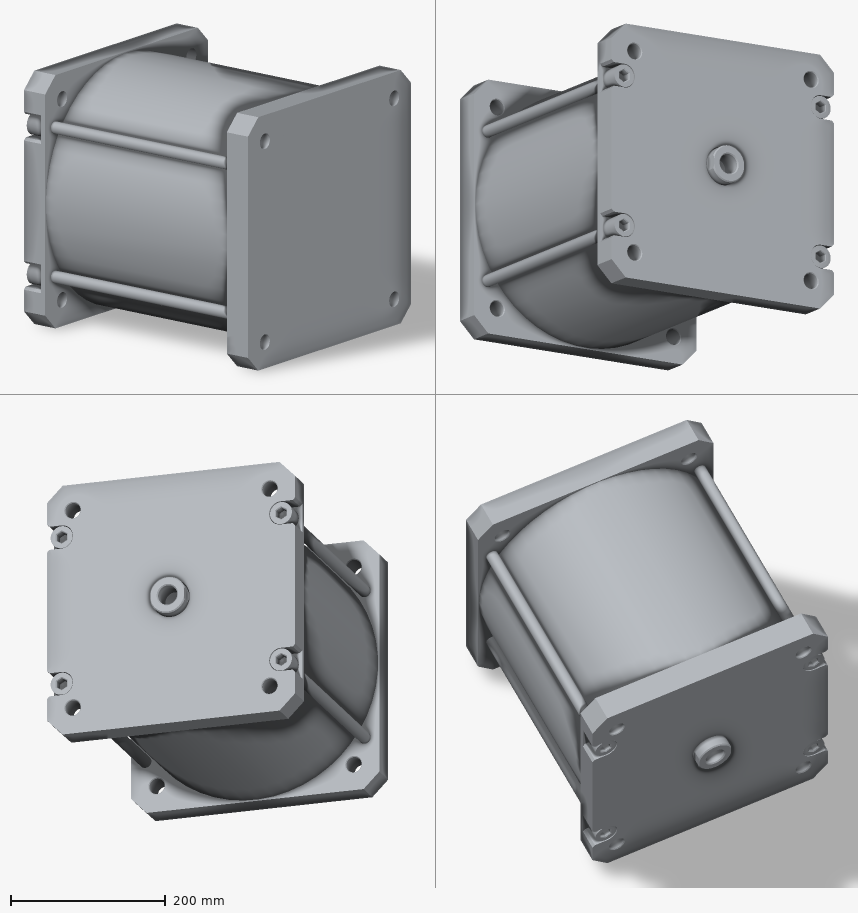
import cadquery as cq
import math

overall_length = 385.0
cover_size = 340.0
cover_thickness = 35.0
corner_chamfer = 21.5
rod_protrusion = 15.0

barrel_diameter = 336.5

mount_hole_diameter = 20.8
mount_hole_countersink = 1.0
mount_hole_offset = 134.8

tie_offset_y = 150.0
tie_offset_z = 100.0
tie_diameter = 16.0
head_diameter = 30.0
head_recess = 0.8
slot_width = 31.5
slot_depth = 28.0
slot_edge_chamfer = 3.5
socket_across_flats = 14.0
socket_chamfer = 1.0
socket_chamfer_angle = 45.0
socket_depth = 14.0

rod_diameter = 49.3
rod_bore_diameter = 51.2
rod_flats_width = 46.0
rod_flats_length = 14.0
rod_tip_chamfer = 1.5
rod_hole_diameter = 26.0
rod_hole_depth = 30.8
rod_hole_countersink = 1.5
drill_point_angle = 118.0

tip_x = -overall_length / 2
front_face_x = tip_x + rod_protrusion
barrel_start_x = front_face_x + cover_thickness
rear_face_x = overall_length / 2
barrel_end_x = rear_face_x - cover_thickness
slot_floor_x = front_face_x + slot_depth
tie_engagement = slot_depth
tie_end_x = barrel_end_x + tie_engagement

mount_positions = [
    (side * mount_hole_offset, level * mount_hole_offset) for side in (-1, 1) for level in (-1, 1)
]
tie_positions = [(side * tie_offset_y, level * tie_offset_z) for side in (-1, 1) for level in (-1, 1)]


def plane_at(x):
    """Sketch plane across the cylinder axis: local axes are Y and Z, extruding toward +X."""
    return cq.Workplane("YZ", origin=(x, 0, 0))


def cylinder(start_x, end_x, diameter, centres=((0, 0),)):
    """Round bars along X from start_x to end_x at the given (y, z) centres."""
    return plane_at(start_x).pushPoints(centres).circle(diameter / 2).extrude(end_x - start_x)


def cover_blank(start_x):
    """Square plate with cut corners and four through mounting holes, countersunk at the front."""
    plate = plane_at(start_x).rect(cover_size, cover_size).extrude(cover_thickness)
    plate = plate.edges("|X").chamfer(corner_chamfer)
    plate = plate.cut(cylinder(start_x, start_x + cover_thickness, mount_hole_diameter, mount_positions))
    return plate.faces("<X").edges("%CIRCLE").chamfer(mount_hole_countersink)


def head_slot(y, z):
    """Round-ended pocket for a tie bolt head, open to the cover side with chamfered mouth edges."""
    side = math.copysign(1, y)
    radius = slot_width / 2
    edge_y = side * cover_size / 2
    mouth_y = edge_y - side * slot_edge_chamfer
    mouth_half = radius + slot_edge_chamfer
    return (
        plane_at(front_face_x)
        .moveTo(y, z + radius)
        .lineTo(mouth_y, z + radius)
        .lineTo(edge_y, z + mouth_half)
        .lineTo(edge_y, z - mouth_half)
        .lineTo(mouth_y, z - radius)
        .lineTo(y, z - radius)
        .threePointArc((y - side * radius, z), (y, z + radius))
        .close()
        .extrude(slot_depth)
    )


def make_front_cover():
    """Cover with a clearance bore for the rod and slots for the tie bolt heads."""
    cover = cover_blank(front_face_x)
    cover = cover.cut(cylinder(front_face_x, barrel_start_x, rod_bore_diameter))
    cover = cover.cut(cylinder(slot_floor_x, barrel_start_x, tie_diameter, tie_positions))
    for y, z in tie_positions:
        cover = cover.cut(head_slot(y, z))
    return cover


def make_rear_cover():
    """Plain cover with blind holes that take the tie bolt ends."""
    return cover_blank(barrel_end_x).cut(cylinder(barrel_end_x, tie_end_x, tie_diameter, tie_positions))


def make_barrel():
    """Round body clamped between the two covers."""
    return cylinder(barrel_start_x, barrel_end_x, barrel_diameter)


def make_piston_rod():
    """Rod end with two wrench flats, a chamfered tip and a drilled, countersunk hole."""
    rod = cylinder(tip_x, barrel_start_x, rod_diameter).faces("<X").chamfer(rod_tip_chamfer)

    flats_zone = plane_at(tip_x).rect(2 * rod_diameter, 2 * rod_diameter).extrude(rod_flats_length)
    flats_core = plane_at(tip_x).rect(rod_flats_width, 2 * rod_diameter).extrude(rod_flats_length)
    rod = rod.cut(flats_zone.cut(flats_core))

    hole_radius = rod_hole_diameter / 2
    mouth_radius = hole_radius + rod_hole_countersink
    point_length = hole_radius / math.tan(math.radians(drill_point_angle / 2))
    hole = (
        cq.Workplane("XY")
        .moveTo(tip_x, 0)
        .lineTo(tip_x, mouth_radius)
        .lineTo(tip_x + rod_hole_countersink, hole_radius)
        .lineTo(tip_x + rod_hole_depth, hole_radius)
        .lineTo(tip_x + rod_hole_depth + point_length, 0)
        .close()
        .revolve(360, (0, 0, 0), (1, 0, 0))
    )
    return rod.cut(hole)


def hexagon_socket(head_face_x, y, z):
    """Hexagonal recess with corners at top and bottom and a chamfered mouth."""
    hexagon_sides = 6
    half_side_angle = 180 / hexagon_sides
    corner_ratio = 1 / math.cos(math.radians(half_side_angle))
    mouth_across_flats = socket_across_flats + 2 * socket_chamfer
    sketch = plane_at(head_face_x).center(y, z).transformed((0, 0, half_side_angle))
    recess = sketch.polygon(hexagon_sides, socket_across_flats * corner_ratio).extrude(socket_depth)
    mouth = sketch.polygon(hexagon_sides, mouth_across_flats * corner_ratio)
    mouth = mouth.extrude(socket_chamfer, taper=socket_chamfer_angle)
    return recess.union(mouth)


def make_tie_bolt(y, z):
    """Long bolt with a round hexagon-socket head sunk in the front cover."""
    head_face_x = front_face_x + head_recess
    shank = cylinder(slot_floor_x, tie_end_x, tie_diameter, [(y, z)])
    head = cylinder(head_face_x, slot_floor_x, head_diameter, [(y, z)])
    return shank.union(head).cut(hexagon_socket(head_face_x, y, z))


front_cover = make_front_cover()
rear_cover = make_rear_cover()
barrel = make_barrel()
piston_rod = make_piston_rod()
tie_bolts = [make_tie_bolt(y, z) for y, z in tie_positions]

result = cq.Compound.makeCompound(
    [front_cover.val(), rear_cover.val(), barrel.val(), piston_rod.val()] + [bolt.val() for bolt in tie_bolts]
)